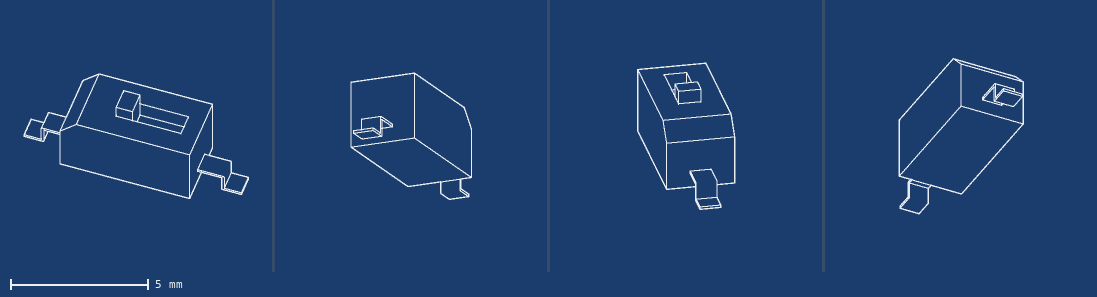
import cadquery as cq

overall_length = 8.38
overall_height = 3.1

housing_length = 5.0
housing_width = 2.54
housing_height = 2.5
housing_chamfer = 0.63

slot_length = 2.5
slot_width = 0.84
slot_depth = 0.645
slot_start_x = -0.63
slot_floor_z = housing_height - slot_depth

lead_thickness = 0.1
lead_width = 0.78
lead_height = 0.755
foot_length = 0.66
bend_radius = 0.04
foot_drop = 0.1

actuator_length = 0.63
actuator_top_z = overall_height - foot_drop
actuator_height = actuator_top_z - slot_floor_z


def block_from_start(start_x, length, width, height, base_z):
    """Block centred in Y that begins at start_x and stands on base_z."""
    block = cq.Workplane("XY").box(length, width, height, centered=(False, True, False))
    return block.translate((start_x, 0, base_z))


def make_housing():
    """Block with one chamfered top edge and an open slot in its top."""
    block = block_from_start(-housing_length / 2, housing_length, housing_width, housing_height, 0)
    block = block.faces("<X").edges(">Z").chamfer(housing_chamfer)
    slot = block_from_start(slot_start_x, slot_length, slot_width, slot_depth, slot_floor_z)
    return block.cut(slot)


def make_actuator():
    """Sliding actuator that rises above the housing."""
    return block_from_start(slot_start_x, actuator_length, slot_width, actuator_height, slot_floor_z)


def make_lead(end):
    """Z-bent strip from the housing end face to a foot; end is -1 or +1 along X."""
    foot_bottom_z = -foot_drop
    foot_top_z = foot_bottom_z + lead_thickness
    arm_top_z = foot_bottom_z + lead_height
    arm_bottom_z = arm_top_z - lead_thickness
    root_x = end * housing_length / 2
    tip_x = end * overall_length / 2
    post_outer_x = tip_x - end * foot_length
    post_inner_x = post_outer_x - end * lead_thickness
    profile = [
        (root_x, arm_top_z),
        (post_outer_x, arm_top_z),
        (post_outer_x, foot_top_z),
        (tip_x, foot_top_z),
        (tip_x, foot_bottom_z),
        (post_inner_x, foot_bottom_z),
        (post_inner_x, arm_bottom_z),
        (root_x, arm_bottom_z),
    ]
    strip = cq.Workplane("XZ").polyline(profile).close().extrude(lead_width / 2, both=True)
    outer_bends = [(post_outer_x, 0, arm_top_z), (post_inner_x, 0, foot_bottom_z)]
    for bend in outer_bends:
        strip = strip.edges(cq.selectors.NearestToPointSelector(bend)).fillet(bend_radius)
    return strip


housing = make_housing()
actuator = make_actuator()
leads = [make_lead(end) for end in (-1, 1)]

result = cq.Compound.makeCompound([housing.val(), actuator.val(), *[lead.val() for lead in leads]])